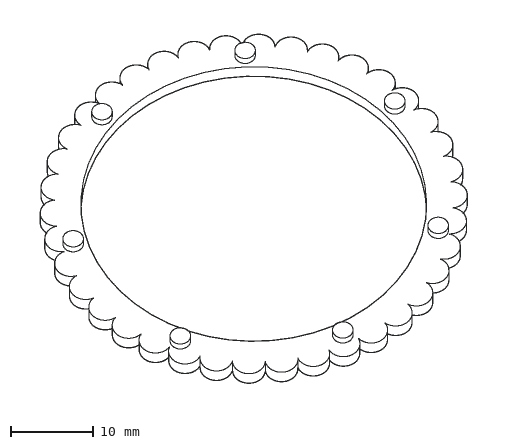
import cadquery as cq
import math

outer_diameter = 52.0
bore_diameter = 42.0
ring_thickness = 1.9

scallop_count = 38
scallop_diameter = 4.0
scallop_pitch_radius = (outer_diameter - scallop_diameter) / 2
first_scallop_angle = 90.0

pin_count = 7
pin_diameter = 2.5
pin_pitch_radius = 22.75
overall_height = 2.9
pin_height = overall_height - ring_thickness
first_pin_angle = 90.0


def evenly_spaced(radius, count, first_angle):
    """Points spread evenly around a circle centred on the Z axis."""
    angles = [math.radians(first_angle + 360 * i / count) for i in range(count)]
    return [(radius * math.cos(a), radius * math.sin(a)) for a in angles]


def scalloped_disc():
    """Solid disc whose rim is a row of convex arcs meeting in sharp valleys."""
    half_step = math.pi / scallop_count
    scallop_radius = scallop_diameter / 2
    half_spacing = scallop_pitch_radius * math.sin(half_step)
    valley_radius = (scallop_pitch_radius * math.cos(half_step)
                     + math.sqrt(scallop_radius**2 - half_spacing**2))
    half_step_degrees = math.degrees(half_step)
    tips = evenly_spaced(outer_diameter / 2, scallop_count, first_scallop_angle)
    valleys = evenly_spaced(valley_radius, scallop_count, first_scallop_angle - half_step_degrees)

    outline = cq.Workplane("XY").moveTo(*valleys[0])
    for i, tip in enumerate(tips):
        outline = outline.threePointArc(tip, valleys[(i + 1) % scallop_count])
    return outline.close().extrude(ring_thickness)


def pins():
    """Short round pins, sunk through the ring so that they fuse with it."""
    places = evenly_spaced(pin_pitch_radius, pin_count, first_pin_angle)
    return (cq.Workplane("XY").pushPoints(places)
            .circle(pin_diameter / 2).extrude(ring_thickness + pin_height))


bore = cq.Workplane("XY").circle(bore_diameter / 2).extrude(ring_thickness)
result = scalloped_disc().cut(bore).union(pins())